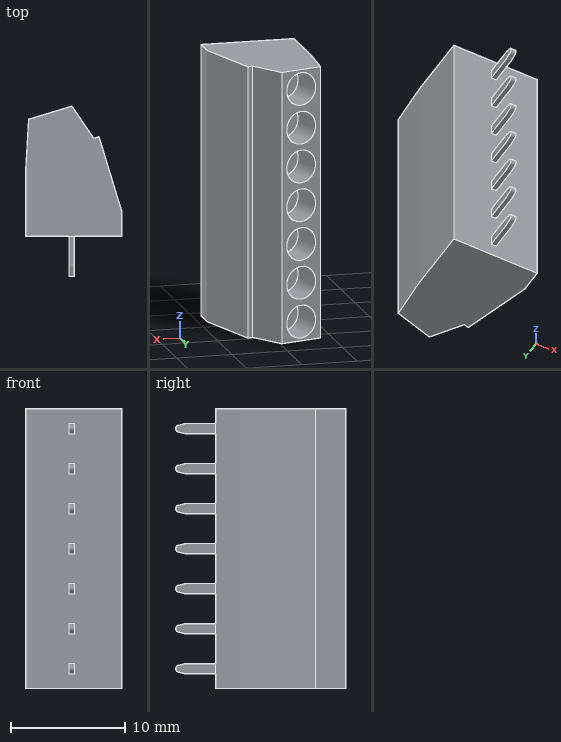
import cadquery as cq
import math


pole_count = 7
housing_length = 24.5
pole_pitch = housing_length / pole_count
housing_width = 8.4
housing_height = 11.4
left_bend_height = 6.03
shoulder_x = 0.25
shoulder_height = 10.25
peak_x = 4.05
notch_x = 5.95
notch_height = 8.58
lip_x = 6.42
lip_height = 8.72
right_wall_height = 2.2

screw_hole_diameter = 2.95
screw_hole_depth = 2.95

pin_x = 4.02
pin_thickness = 0.5
pin_width = 0.9
pin_length = 3.5
pin_straight_length = 2.67
pin_nose_start = 3.3
pin_nose_width = 0.6


def pole_positions():
    """Z positions of the pole centres, from the bottom of the row upwards."""
    return [(pole + 0.5) * pole_pitch for pole in range(pole_count)]


def make_housing():
    """Constant section in XY, extruded along Z; the base lies at Y = 0."""
    outline = [
        (0, 0),
        (housing_width, 0),
        (housing_width, right_wall_height),
        (lip_x, lip_height),
        (notch_x, notch_height),
        (peak_x, housing_height),
        (shoulder_x, shoulder_height),
        (0, left_bend_height),
    ]
    return cq.Workplane("XY").polyline(outline).close().extrude(housing_length)


def make_screw_hole(z):
    """Blind cylinder entering the middle of the crown face at height z."""
    crown_run = peak_x - shoulder_x
    crown_rise = housing_height - shoulder_height
    crown_length = math.hypot(crown_run, crown_rise)
    center = cq.Vector((shoulder_x + peak_x) / 2, (shoulder_height + housing_height) / 2, z)
    inward = cq.Vector(crown_rise / crown_length, -crown_run / crown_length, 0)
    clearance = screw_hole_diameter / 2
    return cq.Solid.makeCylinder(
        screw_hole_diameter / 2,
        screw_hole_depth + clearance,
        center - inward * clearance,
        inward,
    )


def make_pin(z):
    """Flat pin hanging below the base: straight shank, tapered end, round nose."""
    half_width = pin_width / 2
    half_nose = pin_nose_width / 2
    return (
        cq.Workplane("YZ", origin=(pin_x - pin_thickness / 2, 0, z))
        .moveTo(0, -half_width)
        .lineTo(-pin_straight_length, -half_width)
        .lineTo(-pin_nose_start, -half_nose)
        .threePointArc((-pin_length, 0), (-pin_nose_start, half_nose))
        .lineTo(-pin_straight_length, half_width)
        .lineTo(0, half_width)
        .close()
        .extrude(pin_thickness)
    )


result = make_housing()
for pole_z in pole_positions():
    result = result.cut(cq.Workplane(make_screw_hole(pole_z)))
    result = result.union(make_pin(pole_z))